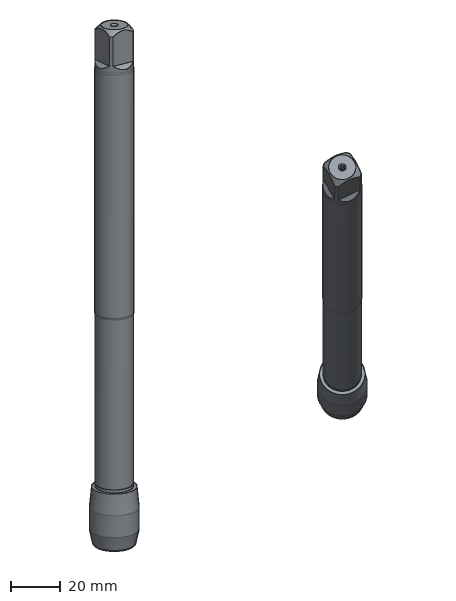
import cadquery as cq

total_length = 224.0

head_diameter = 20.2
head_top_z = 25.0
head_top_diameter = 18.4
upper_taper_z = 16.1
lower_taper_z = 6.7
head_tip_diameter = 17.5
tip_chamfer = 0.7

shank_diameter = 16.0
neck_diameter = 15.7
neck_top_z = 99.7
relief_diameter = 15.5
relief_top_z = 26.5
step_length = 0.7
shank_top_z = 205.5

square_width = 12.0
square_length = 15.0
end_face_diameter = 11.0
center_hole_diameter = 2.0
center_hole_depth = 4.0
countersink_diameter = 3.1
countersink_angle = 60


def turned(profile):
    """Revolve a closed (radius, z) outline about the Z axis."""
    return cq.Workplane("XZ").polyline(profile).close().revolve(360, (0, 0), (0, 1))


def make_head():
    """Solid head with a long upper taper and a chamfered, tapered lead-in at the tip."""
    return turned([
        (0, 0),
        (head_tip_diameter / 2 - tip_chamfer, 0),
        (head_tip_diameter / 2, tip_chamfer),
        (head_diameter / 2, lower_taper_z),
        (head_diameter / 2, upper_taper_z),
        (head_top_diameter / 2, head_top_z),
        (0, head_top_z),
    ])


def make_square_envelope():
    """Square bar that flares outward at 45 degrees below the drive flats."""
    flat_bottom_z = total_length - square_length
    flare_height = (shank_diameter - square_width) / 2
    flare_bottom_z = flat_bottom_z - flare_height
    bar = cq.Workplane("XY").workplane(offset=flat_bottom_z).rect(square_width, square_width)
    bar = bar.extrude(square_length)
    flare = (
        cq.Workplane("XY").workplane(offset=flare_bottom_z).rect(shank_diameter, shank_diameter)
        .workplane(offset=flare_height).rect(square_width, square_width).loft(ruled=True)
    )
    base = cq.Workplane("XY").rect(shank_diameter, shank_diameter).extrude(flare_bottom_z)
    return base.union(flare).union(bar)


def make_shank():
    """Stepped round shank with a square drive end and a countersunk center hole."""
    end_chamfer = (neck_diameter - end_face_diameter) / 2
    bar = turned([
        (0, head_top_z),
        (relief_diameter / 2, head_top_z),
        (relief_diameter / 2, relief_top_z),
        (neck_diameter / 2, relief_top_z),
        (neck_diameter / 2, neck_top_z),
        (shank_diameter / 2, neck_top_z + step_length),
        (shank_diameter / 2, shank_top_z),
        (neck_diameter / 2, shank_top_z + step_length),
        (neck_diameter / 2, total_length - end_chamfer),
        (end_face_diameter / 2, total_length),
        (0, total_length),
    ])
    shank_body = bar.intersect(make_square_envelope())
    return shank_body.faces(">Z").workplane(origin=(0, 0, total_length)).cskHole(
        center_hole_diameter, countersink_diameter, countersink_angle, center_hole_depth
    )


head = make_head()
shank = make_shank()
result = cq.Compound.makeCompound([head.val(), shank.val()])